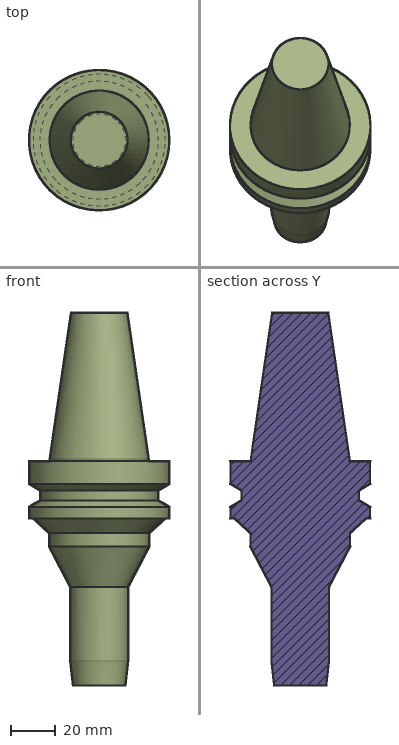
import cadquery as cq

flange_diameter = 63.0
groove_diameter = 53.0
flange_underside_diameter = 59.1
neck_diameter = 45.0
shank_diameter = 26.0
tip_diameter = 23.5
taper_large_diameter = 44.5
taper_ratio = 7 / 24

total_height = 167.0
tip_top = 11.0
shank_top = 44.3
neck_bottom = 62.3
neck_top = 68.3
flange_bottom = 74.8
groove_lower_edge = 80.0
groove_floor_bottom = 83.0
groove_floor_top = 87.3
groove_upper_edge = groove_floor_top + groove_floor_bottom - groove_lower_edge
flange_top = 100.5
taper_start = 101.5

taper_small_diameter = taper_large_diameter - taper_ratio * (total_height - taper_start)

profile = [
    (tip_diameter, 0),
    (shank_diameter, tip_top),
    (shank_diameter, shank_top),
    (neck_diameter, neck_bottom),
    (neck_diameter, neck_top),
    (flange_underside_diameter, flange_bottom),
    (flange_diameter, flange_bottom),
    (flange_diameter, groove_lower_edge),
    (groove_diameter, groove_floor_bottom),
    (groove_diameter, groove_floor_top),
    (flange_diameter, groove_upper_edge),
    (flange_diameter, flange_top),
    (taper_large_diameter, flange_top),
    (taper_large_diameter, taper_start),
    (taper_small_diameter, total_height),
]

half_section = [(diameter / 2, height) for diameter, height in profile]
axis_points = [(0, 0), (0, total_height)]

result = (
    cq.Workplane("XZ")
    .polyline(half_section + axis_points[::-1])
    .close()
    .revolve(360, (0, 0, 0), (0, 1, 0))
)